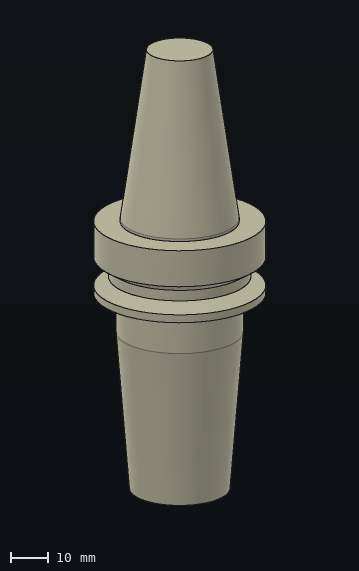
import cadquery as cq

total_height = 124.6

nose_tip_diameter = 26.9
nose_diameter = 34.0
flange_diameter = 46.0
groove_diameter = 38.0
taper_large_diameter = 31.8
taper_small_diameter = 17.8

nose_cone_length = 44.5
nose_collar_length = 11.0
lower_rim_width = 2.2
groove_chamfer_height = 2.5
groove_floor_width = 3.0
upper_rim_width = 10.2
taper_neck_length = 0.7

flange_bottom = nose_cone_length + nose_collar_length
lower_rim_top = flange_bottom + lower_rim_width
groove_floor_bottom = lower_rim_top + groove_chamfer_height
groove_floor_top = groove_floor_bottom + groove_floor_width
upper_rim_bottom = groove_floor_top + groove_chamfer_height
flange_top = upper_rim_bottom + upper_rim_width
taper_bottom = flange_top + taper_neck_length

section = [
    (0, 0),
    (nose_tip_diameter, 0),
    (nose_diameter, nose_cone_length),
    (nose_diameter, flange_bottom),
    (flange_diameter, flange_bottom),
    (flange_diameter, lower_rim_top),
    (groove_diameter, groove_floor_bottom),
    (groove_diameter, groove_floor_top),
    (flange_diameter, upper_rim_bottom),
    (flange_diameter, flange_top),
    (taper_large_diameter, flange_top),
    (taper_large_diameter, taper_bottom),
    (taper_small_diameter, total_height),
    (0, total_height),
]

result = (
    cq.Workplane("XZ")
    .polyline([(diameter / 2, height) for diameter, height in section])
    .close()
    .revolve(360, (0, 0), (0, 1))
)